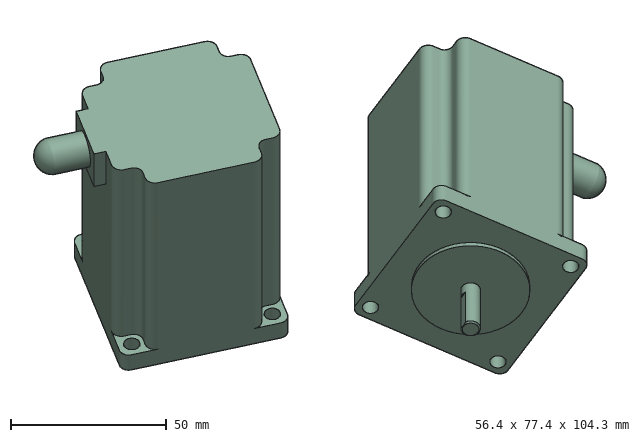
import cadquery as cq
import math

WIDTH = 56.4
FLANGE_THICKNESS = 7.0
FLANGE_CORNER_RADIUS = 3.1
BODY_TOP = 83.7
CORNER_RELIEF = 8.7
RELIEF_INNER_RADIUS = 3.0
RELIEF_OUTER_RADIUS = 3.3

HOLE_SPACING = 47.14
HOLE_DIAMETER = 5.2

PILOT_DIAMETER = 38.1
PILOT_HEIGHT = 1.6
SHAFT_DIAMETER = 6.35
SHAFT_REACH = 20.6
SHAFT_CHAMFER = 0.5
FLAT_DEPTH = 0.4
FLAT_LENGTH = 15.0

OUTLET_WIDTH = 20.0
OUTLET_HEIGHT = 15.0
OUTLET_DEPTH = 4.0
CABLE_DIAMETER = 12.0
CABLE_LENGTH = 12.0
OUTLET_REACH = 21.0

HALF_WIDTH = WIDTH / 2
CABLE_RADIUS = CABLE_DIAMETER / 2


def make_flange():
    """Square mounting flange with rounded corners and four through holes."""
    return (
        cq.Workplane("XY")
        .rect(WIDTH, WIDTH)
        .extrude(FLANGE_THICKNESS)
        .edges("|Z")
        .fillet(FLANGE_CORNER_RADIUS)
        .faces(">Z")
        .workplane()
        .rect(HOLE_SPACING, HOLE_SPACING, forConstruction=True)
        .vertices()
        .hole(HOLE_DIAMETER)
    )


def is_on_side_wall(edge):
    """Tell whether an upright edge lies on one of the four side walls."""
    centre = edge.Center()
    return max(abs(centre.x), abs(centre.y)) > HALF_WIDTH - CORNER_RELIEF / 2


def make_body():
    """Square column with a rounded relief over each mounting hole."""
    core_width = WIDTH - 2 * CORNER_RELIEF
    height = BODY_TOP - FLANGE_THICKNESS
    base = cq.Workplane("XY").workplane(offset=FLANGE_THICKNESS)
    lengthwise = base.rect(WIDTH, core_width).extrude(height)
    crosswise = base.rect(core_width, WIDTH).extrude(height)
    body = lengthwise.union(crosswise)

    upright_edges = body.edges("|Z").vals()
    outer_edges = [edge for edge in upright_edges if is_on_side_wall(edge)]
    inner_edges = [edge for edge in upright_edges if not is_on_side_wall(edge)]
    inner_rounded = body.newObject(inner_edges).fillet(RELIEF_INNER_RADIUS)
    return inner_rounded.newObject(outer_edges).fillet(RELIEF_OUTER_RADIUS)


def make_pilot():
    """Round centring boss under the flange."""
    return cq.Workplane("XY").circle(PILOT_DIAMETER / 2).extrude(-PILOT_HEIGHT)


def make_shaft():
    """Chamfered output shaft with a flat on its +Y side."""
    shaft = (
        cq.Workplane("XY")
        .circle(SHAFT_DIAMETER / 2)
        .extrude(-SHAFT_REACH)
        .faces("<Z")
        .chamfer(SHAFT_CHAMFER)
    )
    flat_cut = (
        cq.Workplane("XY")
        .workplane(offset=-SHAFT_REACH)
        .center(0, SHAFT_DIAMETER - FLAT_DEPTH)
        .rect(SHAFT_DIAMETER, SHAFT_DIAMETER)
        .extrude(FLAT_LENGTH)
    )
    return shaft.cut(flat_cut)


def make_outlet():
    """Block flush with the body top, carrying a cable stub with a domed end."""
    block_depth = HALF_WIDTH + OUTLET_DEPTH
    block = (
        cq.Workplane("XY")
        .box(OUTLET_WIDTH, block_depth, OUTLET_HEIGHT, centered=(True, False, False))
        .translate((0, -block_depth, BODY_TOP - OUTLET_HEIGHT))
    )
    dome_start = OUTLET_DEPTH + CABLE_LENGTH
    dome_height = OUTLET_REACH - dome_start
    dome_radius = (CABLE_RADIUS**2 + dome_height**2) / (2 * dome_height)
    middle_angle = math.asin(CABLE_RADIUS / dome_radius) / 2
    middle_x = dome_radius * math.sin(middle_angle)
    middle_y = -OUTLET_REACH + dome_radius * (1 - math.cos(middle_angle))
    cable = (
        cq.Workplane("XY")
        .lineTo(CABLE_RADIUS, 0)
        .lineTo(CABLE_RADIUS, -dome_start)
        .threePointArc((middle_x, middle_y), (0, -OUTLET_REACH))
        .close()
        .revolve(360, (0, 0), (0, 1))
        .translate((0, -HALF_WIDTH, BODY_TOP - OUTLET_HEIGHT / 2))
    )
    return block.union(cable)


result = (
    make_flange()
    .union(make_body())
    .union(make_pilot())
    .union(make_shaft())
    .union(make_outlet())
)